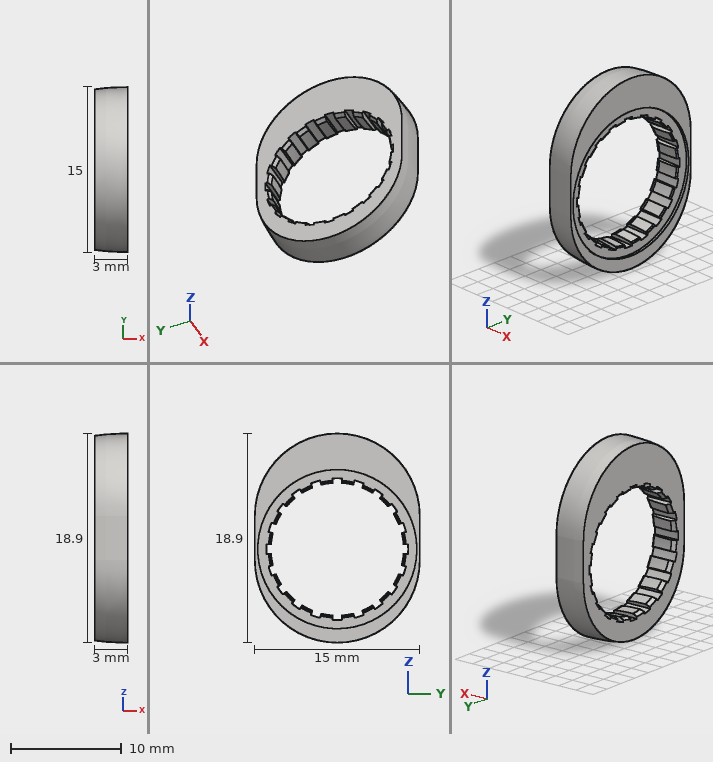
import cadquery as cq
import math

thickness = 3.0
outer_radius = 7.475
straight_length = 4.0
taper_length = 1.0
front_setback = 0.2
crown_length = thickness - taper_length
crown_radius = 25.0

body_centre_z = 1.0
slot_count = 20
slot_width = 0.85
slot_root_radius = 6.4
tooth_tip_radius = 6.0
tooth_lead_radius = 6.2
lead_length = 0.45
tip_flat_length = 0.12
tooth_crown_radius = 16.0
rear_bevel_length = 0.15
rear_bevel_rise = 0.1

counterbore_radius = 14.4 / 2
counterbore_depth = 0.3
spline_length = thickness - counterbore_depth

crown_angle = math.asin(crown_length / crown_radius)
seam_radius = outer_radius - crown_radius * (1 - math.cos(crown_angle))
front_radius = outer_radius - front_setback
mid_crown_radius = outer_radius - crown_radius * (1 - math.cos(crown_angle / 2))
mid_crown_x = thickness - crown_radius * math.sin(crown_angle / 2)


def edge_profile():
    """Half section in XY, from the centre line out to the crowned edge."""
    return (
        cq.Workplane("XY")
        .lineTo(0, front_radius)
        .lineTo(taper_length, seam_radius)
        .threePointArc((mid_crown_x, mid_crown_radius), (thickness, outer_radius))
        .lineTo(thickness, 0)
        .close()
    )


def make_body():
    """Obround body: two crowned discs joined by a straight middle block."""
    disc = edge_profile().revolve(360, (0, 0, 0), (1, 0, 0))
    half_block = edge_profile().extrude(straight_length / 2, both=True)
    body = half_block.union(half_block.mirror("XZ"))
    for side in (-1, 1):
        body = body.union(disc.translate((0, 0, side * straight_length / 2)))
    return body.translate((0, 0, body_centre_z))


def make_bore():
    """Bore along the tooth tips (lead, flat, crown, rear bevel) plus the counterbore."""
    crown_start_x = lead_length + tip_flat_length
    crown_end_x = spline_length - rear_bevel_length
    half_crown_angle = math.asin((crown_end_x - crown_start_x) / tooth_crown_radius) / 2

    def crown_point(angle):
        """Point of the tooth crown, at an angle measured from its tangent start."""
        return (
            crown_start_x + tooth_crown_radius * math.sin(angle),
            tooth_tip_radius + tooth_crown_radius * (1 - math.cos(angle)),
        )

    crown_end = crown_point(2 * half_crown_angle)
    return (
        cq.Workplane("XY")
        .lineTo(0, tooth_lead_radius)
        .lineTo(lead_length, tooth_tip_radius)
        .lineTo(crown_start_x, tooth_tip_radius)
        .threePointArc(crown_point(half_crown_angle), crown_end)
        .lineTo(spline_length, crown_end[1] + rear_bevel_rise)
        .lineTo(spline_length, counterbore_radius)
        .lineTo(thickness, counterbore_radius)
        .lineTo(thickness, 0)
        .close()
        .revolve(360, (0, 0, 0), (1, 0, 0))
    )


def make_slots():
    """Flat-sided slots around the bore, bounded by the root cylinder."""
    root = cq.Workplane("YZ").circle(slot_root_radius).extrude(thickness)
    bar = cq.Workplane("YZ").rect(slot_width, 2 * outer_radius).extrude(thickness)
    slots = bar
    for index in range(1, slot_count // 2):
        angle = index * 360 / slot_count
        slots = slots.union(bar.rotate((0, 0, 0), (1, 0, 0), angle))
    return slots.intersect(root)


result = make_body().cut(make_bore()).cut(make_slots())